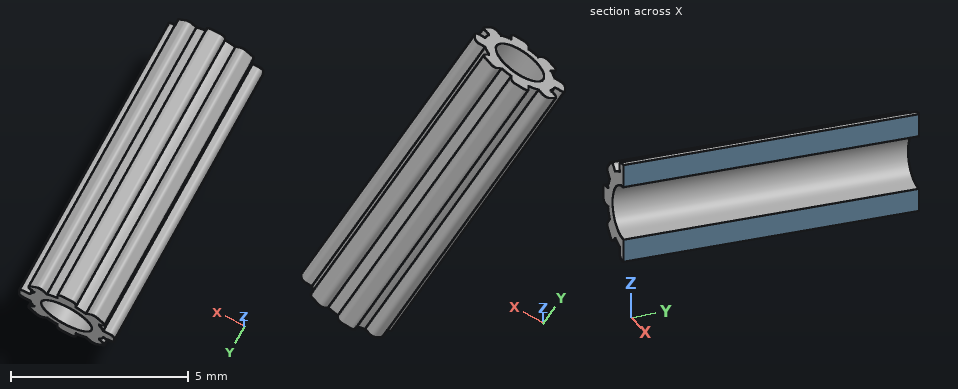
import cadquery as cq

length = 9.0
tip_to_tip = 3.02
root_diameter = 2.41
bore_diameter = 1.62
tooth_width = 0.585
tooth_corner_radius = 0.15
tooth_count = 8


def cylinder(diameter):
    """Solid cylinder centred on the origin, with its axis along Y."""
    return cq.Workplane("XZ").circle(diameter / 2).extrude(length / 2, both=True)


def tooth_pair():
    """Full-length bar across the axis, forming two opposite teeth with rounded tip corners."""
    return cq.Workplane("XY").box(tip_to_tip, length, tooth_width).edges("|Y").fillet(tooth_corner_radius)


result = cylinder(root_diameter)
for index in range(tooth_count // 2):
    angle = index * 360 / tooth_count
    result = result.union(tooth_pair().rotate((0, 0, 0), (0, 1, 0), angle))

result = result.cut(cylinder(bore_diameter))